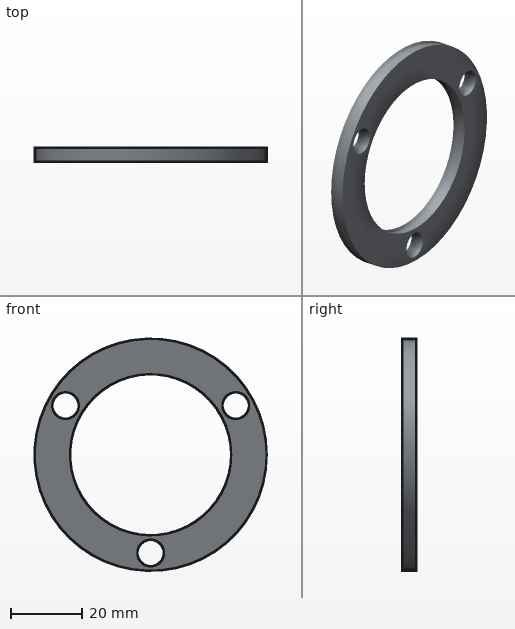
import cadquery as cq

outer_diameter = 65.0
bore_diameter = 45.0
thickness = 4.0

hole_count = 3
hole_diameter = 7.35
hole_circle_radius = 27.5
first_hole_angle = -90.0

ring = (
    cq.Workplane("XZ")
    .circle(outer_diameter / 2)
    .circle(bore_diameter / 2)
    .extrude(thickness)
)

holes = (
    cq.Workplane("XZ")
    .polarArray(hole_circle_radius, first_hole_angle, 360, hole_count)
    .circle(hole_diameter / 2)
    .extrude(thickness)
)

result = ring.cut(holes)